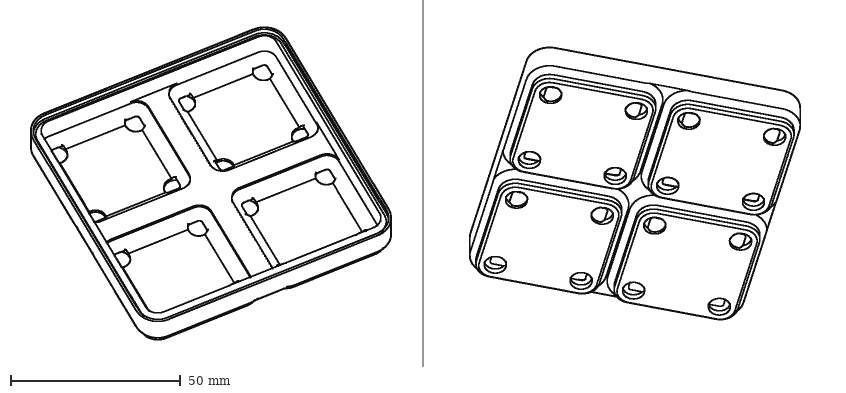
import cadquery as cq

outer_width = 83.0
total_height = 12.8
outer_corner_radius = 7.05

pitch = 42.0
cell_offsets = (-pitch / 2, pitch / 2)
cell_centers = [(x, y) for x in cell_offsets for y in cell_offsets]

foot_top_width = 41.5
foot_chamfer = 0.8
foot_band_height = 1.8
foot_flare = 2.1
foot_height = foot_chamfer + foot_band_height + foot_flare
foot_band_width = foot_top_width - 2 * foot_flare
foot_base_width = foot_band_width - 2 * foot_chamfer
foot_top_radius = outer_corner_radius + (pitch + foot_top_width - outer_width) / 2
foot_band_radius = foot_top_radius - foot_flare
foot_base_radius = foot_band_radius - foot_chamfer

wall_thickness = 3.1
deck_height = 5.7
pocket_floor_height = 1.0
pocket_top_width = 2 * (outer_width / 2 - wall_thickness - pitch / 2)
pocket_top_radius = outer_corner_radius - wall_thickness
pocket_floor_radius = 0.1
pocket_slope = pocket_top_radius - pocket_floor_radius
pocket_floor_width = pocket_top_width - 2 * pocket_slope
pocket_slope_top = pocket_floor_height + pocket_slope
opening_width = outer_width - 2 * wall_thickness

rim_thickness = 0.75
groove_flat = 0.75
groove_depth = 1.8

magnet_diameter = 6.5
magnet_depth = 1.9
magnet_spacing = 26.1


def rounded_prism(width, radius, bottom, height):
    """Square prism with rounded upright edges, centred on the Z axis."""
    prism = cq.Workplane("XY").workplane(offset=bottom).rect(width, width).extrude(height)
    return prism.edges("|Z").fillet(radius)


def rounded_frustum(low_width, low_radius, high_width, high_radius, bottom, height):
    """Straight-sided transition between two rounded squares, centred on the Z axis."""
    low = cq.Sketch().rect(low_width, low_width).vertices().fillet(low_radius)
    high = cq.Sketch().rect(high_width, high_width).vertices().fillet(high_radius)
    return (
        cq.Workplane("XY")
        .workplane(offset=bottom)
        .placeSketch(low, high.moved(cq.Location(cq.Vector(0, 0, height))))
        .loft(ruled=True)
    )


def make_foot():
    band_bottom = foot_chamfer
    flare_bottom = foot_chamfer + foot_band_height
    base = rounded_frustum(
        foot_base_width, foot_base_radius, foot_band_width, foot_band_radius, 0, foot_chamfer
    )
    band = rounded_prism(foot_band_width, foot_band_radius, band_bottom, foot_band_height)
    flare = rounded_frustum(
        foot_band_width, foot_band_radius, foot_top_width, foot_top_radius, flare_bottom, foot_flare
    )
    return base.union(band).union(flare)


def make_pocket():
    sloped = rounded_frustum(
        pocket_floor_width,
        pocket_floor_radius,
        pocket_top_width,
        pocket_top_radius,
        pocket_floor_height,
        pocket_slope,
    )
    upright = rounded_prism(
        pocket_top_width, pocket_top_radius, pocket_slope_top, deck_height - pocket_slope_top
    )
    return sloped.union(upright)


def make_magnet_holes():
    return (
        cq.Workplane("XY")
        .rect(magnet_spacing, magnet_spacing, forConstruction=True)
        .vertices()
        .circle(magnet_diameter / 2)
        .extrude(magnet_depth)
    )


def make_groove():
    groove_bottom = total_height - groove_depth
    outer_side = rounded_prism(
        outer_width - 2 * rim_thickness,
        outer_corner_radius - rim_thickness,
        groove_bottom,
        groove_depth,
    )
    slope_inset = rim_thickness + groove_flat
    inner_side = rounded_frustum(
        outer_width - 2 * slope_inset,
        outer_corner_radius - slope_inset,
        opening_width,
        pocket_top_radius,
        groove_bottom,
        groove_depth,
    )
    return outer_side.cut(inner_side)


upper_body = rounded_prism(outer_width, outer_corner_radius, foot_height, total_height - foot_height)
outline = rounded_prism(outer_width, outer_corner_radius, 0, total_height)
foot = make_foot()
tray = upper_body
for x, y in cell_centers:
    tray = tray.union(foot.translate((x, y, 0)).intersect(outline))

tray = tray.cut(rounded_prism(opening_width, pocket_top_radius, deck_height, total_height - deck_height))

cell_cut = make_pocket().union(make_magnet_holes())
for x, y in cell_centers:
    tray = tray.cut(cell_cut.translate((x, y, 0)))

result = tray.cut(make_groove())